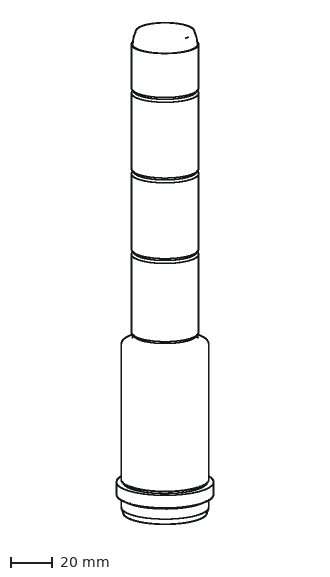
import cadquery as cq

length = 240.0
pin_radius = 16.0
body_diameter = 42.0
body_radius = body_diameter / 2
flange_radius = 23.3

nose_length = 7.0
nose_base_radius = 15.5
nose_shoulder_radius = 14.2
nose_bulge_radius = 14.5
nose_edge_round = 1.0

first_groove_distance_from_top = 30.0
groove_pitch = 40.0
groove_count = 3
groove_width = 2.5
groove_depth = 1.0

neck_top = 89.8
neck_radius = 15.0
neck_flare = 3.4
body_top = 85.2
body_top_round = 1.5

flange_bottom = 9.0
flange_top = 15.4
relief_width = 1.2
relief_radius = 20.2

base_taper_height = 3.0
base_taper_width = 1.0


def revolve_profile(sketch):
    """Close a half outline on the axis and turn it about Z."""
    return sketch.close().revolve(360, (0, 0, 0), (0, 1, 0))


def make_blank():
    """Foot, flange, body, neck, pin and nose as one revolved outline."""
    nose_start = length - nose_length
    nose_edge = length - nose_edge_round
    flare_radius = neck_radius + neck_flare
    outline = (
        cq.Workplane("XZ")
        .lineTo(body_radius - base_taper_width, 0)
        .lineTo(body_radius, base_taper_height)
        .lineTo(body_radius, flange_bottom - relief_width)
        .lineTo(relief_radius, flange_bottom - relief_width)
        .lineTo(relief_radius, flange_bottom)
        .lineTo(flange_radius, flange_bottom)
        .lineTo(flange_radius, flange_top)
        .lineTo(relief_radius, flange_top)
        .lineTo(relief_radius, flange_top + relief_width)
        .lineTo(body_radius, flange_top + relief_width)
        .lineTo(body_radius, body_top - body_top_round)
        .radiusArc((body_radius - body_top_round, body_top), -body_top_round)
        .lineTo(flare_radius, body_top)
        .radiusArc((neck_radius, body_top + neck_flare), neck_flare)
        .lineTo(pin_radius, neck_top)
        .lineTo(pin_radius, nose_start)
        .lineTo(nose_base_radius, nose_start)
        .radiusArc((nose_shoulder_radius, nose_edge), -nose_bulge_radius)
        .radiusArc((nose_shoulder_radius - nose_edge_round, length), -nose_edge_round)
        .lineTo(0, length)
    )
    return revolve_profile(outline)


def make_groove(centre_z):
    """Ring-shaped V cutter centred at the given height."""
    half_width = groove_width / 2
    outline = (
        cq.Workplane("XZ")
        .moveTo(pin_radius, centre_z - half_width)
        .lineTo(pin_radius - groove_depth, centre_z)
        .lineTo(pin_radius, centre_z + half_width)
    )
    return revolve_profile(outline)


result = make_blank()
for index in range(groove_count):
    groove_z = length - first_groove_distance_from_top - index * groove_pitch
    result = result.cut(make_groove(groove_z))